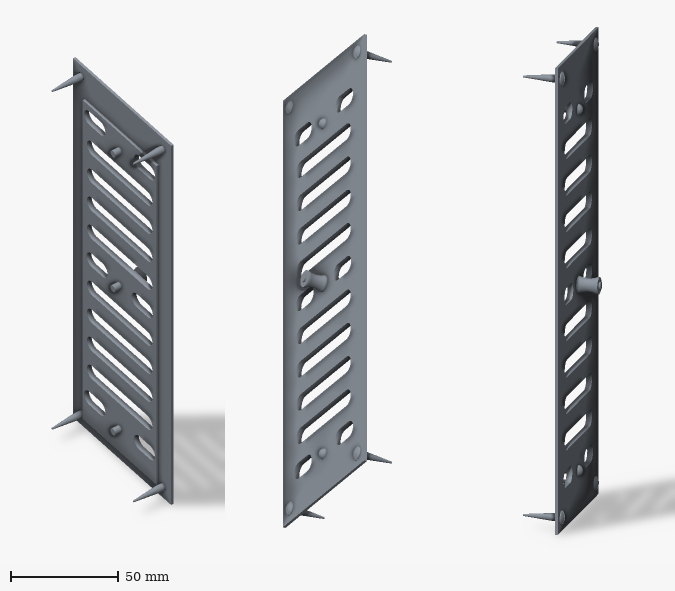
import cadquery as cq
import math


base_width = 76.5
base_height = 225.5
sheet_thickness = 1.4
front_width = 57.5
front_height = 200.2
front_center_z = -6.0
base_front_y = -sheet_thickness
front_face_y = -2 * sheet_thickness

slot_width = 8.3
slot_row_pitch = 17.5
slot_rows_per_side = 5
middle_row_z = -1.5
long_slot_length = 51.0
short_slot_length = 16.5
end_slot_x = 19.5
middle_slot_x = 17.5

screw_side_inset = 6.5
screw_end_inset = 6.8
screw_x = base_width / 2 - screw_side_inset
screw_z = base_height / 2 - screw_end_inset
screw_head_radius = 3.4
screw_head_height = 1.5
screw_rim_height = 0.5
screw_slot_width = 1.1
screw_shank_radius = 1.87
screw_hole_radius = 2.3
screw_shank_end_y = -4.3
screw_tip_radius = 0.5
screw_tip_y = -18.5

stud_radius = 1.8
stud_front_y = -6.8
upper_stud_z = 83.0
lower_stud_z = -91.5
rivet_head_radius = 2.7
rivet_head_height = 2.3

knob_stud_rear_y = 11.0
knob_rear_y = 10.1
knob_rim_radius = 4.0
knob_rear_rim_thickness = 1.0
knob_front_rim_thickness = 0.5
knob_waist_radius = 3.2

screw_places = [(x, z) for x in (-screw_x, screw_x) for z in (-screw_z, screw_z)]
rivet_heights = [lower_stud_z, upper_stud_z]
stud_heights = [*rivet_heights, middle_row_z]


def revolved_about_y(profile, x, z):
    """Solid of revolution about the Y direction from a (radius, y) outline, moved to (x, z)."""
    return profile.close().revolve(360, (0, 0, 0), (0, 1, 0)).translate((x, 0, z))


def cylinder_along_y(radius, y_start, y_end, x, z):
    """Cylinder that runs from y_start down to y_end."""
    length = y_start - y_end
    return cq.Workplane("XZ", origin=(x, y_start, z)).circle(radius).extrude(length)


def plate_box(width, height, rear_y, center_z):
    """Upright sheet whose rear face lies at rear_y."""
    return cq.Workplane("XZ", origin=(0, rear_y, center_z)).rect(width, height).extrude(sheet_thickness)


def slot_cutter(length, x, z):
    """Horizontal slot that passes through both plates."""
    return cq.Workplane("XZ", origin=(x, 0, z)).slot2D(length, slot_width).extrude(2 * sheet_thickness)


def slot_cutters():
    cutters = []
    for row in range(-slot_rows_per_side, slot_rows_per_side + 1):
        z = middle_row_z + row * slot_row_pitch
        if row == 0:
            cutters += [slot_cutter(short_slot_length, side * middle_slot_x, z) for side in (-1, 1)]
        elif abs(row) == slot_rows_per_side:
            cutters += [slot_cutter(short_slot_length, side * end_slot_x, z) for side in (-1, 1)]
        else:
            cutters.append(slot_cutter(long_slot_length, 0, z))
    return cutters


def stud_hole_cutters():
    return [cylinder_along_y(stud_radius, 0, front_face_y, 0, z) for z in stud_heights]


def make_base_plate():
    plate = plate_box(base_width, base_height, 0, 0)
    for cutter in slot_cutters() + stud_hole_cutters():
        plate = plate.cut(cutter)
    for x, z in screw_places:
        plate = plate.cut(cylinder_along_y(screw_hole_radius, 0, base_front_y, x, z))
    return plate


def make_front_plate():
    plate = plate_box(front_width, front_height, base_front_y, front_center_z)
    for cutter in slot_cutters() + stud_hole_cutters():
        plate = plate.cut(cutter)
    return plate


def dome_outline(rim_radius, rim_y, crown_y):
    """Outline of a spherical cap, from its crown on the axis out to its rim."""
    rise = crown_y - rim_y
    sphere_radius = (rim_radius**2 + rise**2) / (2 * rise)
    half_angle = math.asin(rim_radius / sphere_radius) / 2
    arc_middle = (
        sphere_radius * math.sin(half_angle),
        crown_y - sphere_radius * (1 - math.cos(half_angle)),
    )
    return cq.Workplane("XY").moveTo(0, crown_y).threePointArc(arc_middle, (rim_radius, rim_y))


def make_screw(x, z):
    """Domed head, slotted over its full height, with a straight shank and a long tapered point."""
    profile = (
        dome_outline(screw_head_radius, screw_rim_height, screw_head_height)
        .lineTo(screw_head_radius, 0)
        .lineTo(screw_shank_radius, 0)
        .lineTo(screw_shank_radius, screw_shank_end_y)
        .lineTo(screw_tip_radius, screw_tip_y)
        .lineTo(0, screw_tip_y)
    )
    driver_slot = cq.Workplane("XY").box(screw_slot_width, screw_head_height, 2 * screw_head_radius)
    driver_slot = driver_slot.translate((x, screw_head_height / 2, z))
    return revolved_about_y(profile, x, z).cut(driver_slot)


def make_rivet(z):
    """Plain stud with a domed head behind the base plate."""
    profile = (
        dome_outline(rivet_head_radius, 0, rivet_head_height)
        .lineTo(stud_radius, 0)
        .lineTo(stud_radius, stud_front_y)
        .lineTo(0, stud_front_y)
    )
    return revolved_about_y(profile, 0, z)


def make_knob_stud():
    """Stud that carries a waisted knob, rimmed at both ends, behind the base plate."""
    waist_rear_y = knob_rear_y - knob_rear_rim_thickness
    waist_middle_y = (waist_rear_y + knob_front_rim_thickness) / 2
    profile = (
        cq.Workplane("XY")
        .moveTo(0, knob_stud_rear_y)
        .lineTo(stud_radius, knob_stud_rear_y)
        .lineTo(stud_radius, knob_rear_y)
        .lineTo(knob_rim_radius, knob_rear_y)
        .lineTo(knob_rim_radius, waist_rear_y)
        .threePointArc((knob_waist_radius, waist_middle_y), (knob_rim_radius, knob_front_rim_thickness))
        .lineTo(knob_rim_radius, 0)
        .lineTo(stud_radius, 0)
        .lineTo(stud_radius, stud_front_y)
        .lineTo(0, stud_front_y)
    )
    return revolved_about_y(profile, 0, middle_row_z)


base_plate = make_base_plate()
front_plate = make_front_plate()
screws = [make_screw(x, z) for x, z in screw_places]
rivets = [make_rivet(z) for z in rivet_heights]
knob_stud = make_knob_stud()

result = cq.Compound.makeCompound([
    base_plate.val(),
    front_plate.val(),
    *[screw.val() for screw in screws],
    *[rivet.val() for rivet in rivets],
    knob_stud.val(),
])